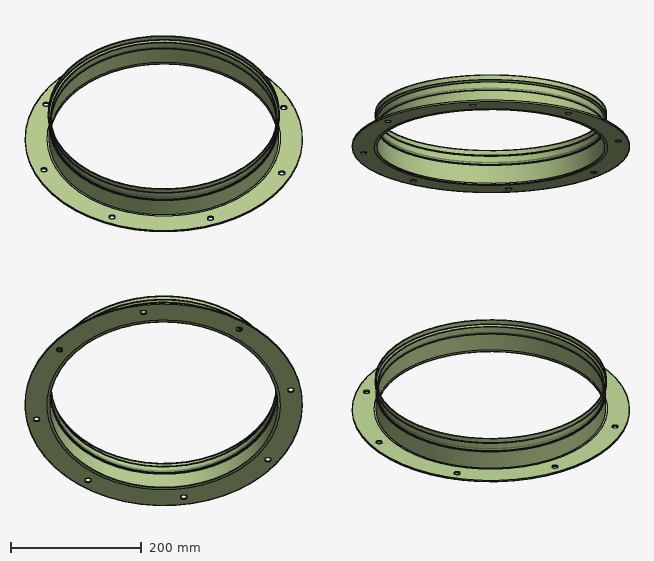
import cadquery as cq

FLANGE_RADIUS = 212.5
FLANGE_THICKNESS = 2.5
BOLT_CIRCLE_RADIUS = 197.0
BOLT_HOLE_DIAMETER = 9.5
BOLT_COUNT = 8

SHEET_THICKNESS = 1.3
FOOT_RADIUS = 179.0
WALL_RADIUS = 176.0
GROOVE_RADIUS = 174.0
BEAD_RADIUS = 177.2

SHOULDER_BOTTOM = 31.5
SHOULDER_RISE = 1.0
SHOULDER_LEDGE = 1.3
GROOVE_BOTTOM = 35.3
GROOVE_TOP = 45.5
BEAD_BOTTOM = 48.0
COLLAR_HEIGHT = 55.5


def make_flange():
    """Flat ring with a circle of bolt holes, bored to receive the collar foot."""
    plate = cq.Workplane("XY").circle(FLANGE_RADIUS).circle(FOOT_RADIUS).extrude(FLANGE_THICKNESS)
    bolt_holes = (
        cq.Workplane("XY")
        .polarArray(BOLT_CIRCLE_RADIUS, 0, 360, BOLT_COUNT)
        .circle(BOLT_HOLE_DIAMETER / 2)
        .extrude(FLANGE_THICKNESS)
    )
    return plate.cut(bolt_holes)


def make_collar():
    """Thin revolved sleeve with a foot, a shallow groove and a wider bead at its top."""
    shoulder_top = SHOULDER_BOTTOM + SHOULDER_RISE
    outer_wall = [
        (WALL_RADIUS, SHOULDER_BOTTOM),
        (WALL_RADIUS - SHOULDER_LEDGE, shoulder_top),
        (GROOVE_RADIUS, GROOVE_BOTTOM),
        (GROOVE_RADIUS, GROOVE_TOP),
        (BEAD_RADIUS, BEAD_BOTTOM),
        (BEAD_RADIUS, COLLAR_HEIGHT),
    ]
    foot = [
        (WALL_RADIUS - SHEET_THICKNESS, 0),
        (FOOT_RADIUS, 0),
        (FOOT_RADIUS, FLANGE_THICKNESS),
        (WALL_RADIUS, FLANGE_THICKNESS),
    ]
    inner_wall = [(radius - SHEET_THICKNESS, height) for radius, height in reversed(outer_wall)]
    profile = cq.Workplane("XZ").polyline(foot + outer_wall + inner_wall).close()
    return profile.revolve(360, (0, 0, 0), (0, 1, 0))


flange = make_flange()
collar = make_collar()
result = cq.Compound.makeCompound([flange.val(), collar.val()])